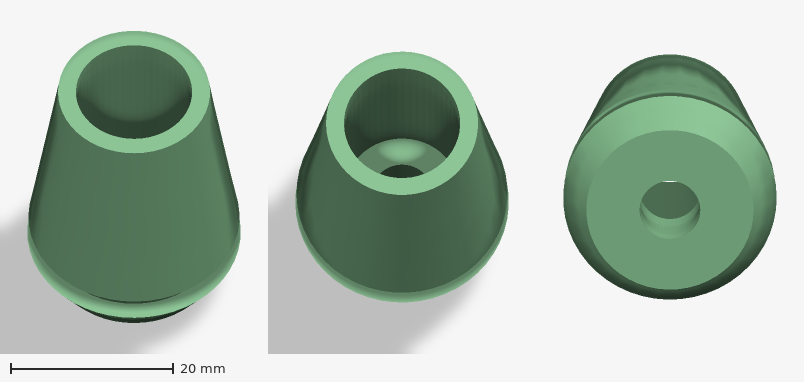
import cadquery as cq

total_height = 34.0
flange_height = 4.95
groove_width = 3.15
cone_base_height = flange_height + groove_width

flange_bottom_diameter = 20.6
flange_top_diameter = 26.3
groove_diameter = 22.0
cone_base_diameter = 26.0
cone_top_diameter = 18.75

wide_bore_diameter = 14.3
narrow_bore_diameter = 7.48
wide_bore_floor = cone_base_height


def make_body():
    """Revolve the flared flange, the groove and the tapered sleeve about Z."""
    profile = (
        cq.Workplane("XZ")
        .lineTo(flange_bottom_diameter / 2, 0)
        .lineTo(flange_top_diameter / 2, flange_height)
        .lineTo(groove_diameter / 2, flange_height)
        .lineTo(groove_diameter / 2, cone_base_height)
        .lineTo(cone_base_diameter / 2, cone_base_height)
        .lineTo(cone_top_diameter / 2, total_height)
        .lineTo(0, total_height)
        .close()
    )
    return profile.revolve(360, (0, 0, 0), (0, 1, 0))


def make_stepped_bore():
    """Narrow through hole joined to the wide bore open at the top."""
    narrow_bore = cq.Workplane("XY").circle(narrow_bore_diameter / 2).extrude(total_height)
    wide_bore = (
        cq.Workplane("XY", origin=(0, 0, wide_bore_floor))
        .circle(wide_bore_diameter / 2)
        .extrude(total_height - wide_bore_floor)
    )
    return narrow_bore.union(wide_bore)


result = make_body().cut(make_stepped_bore())